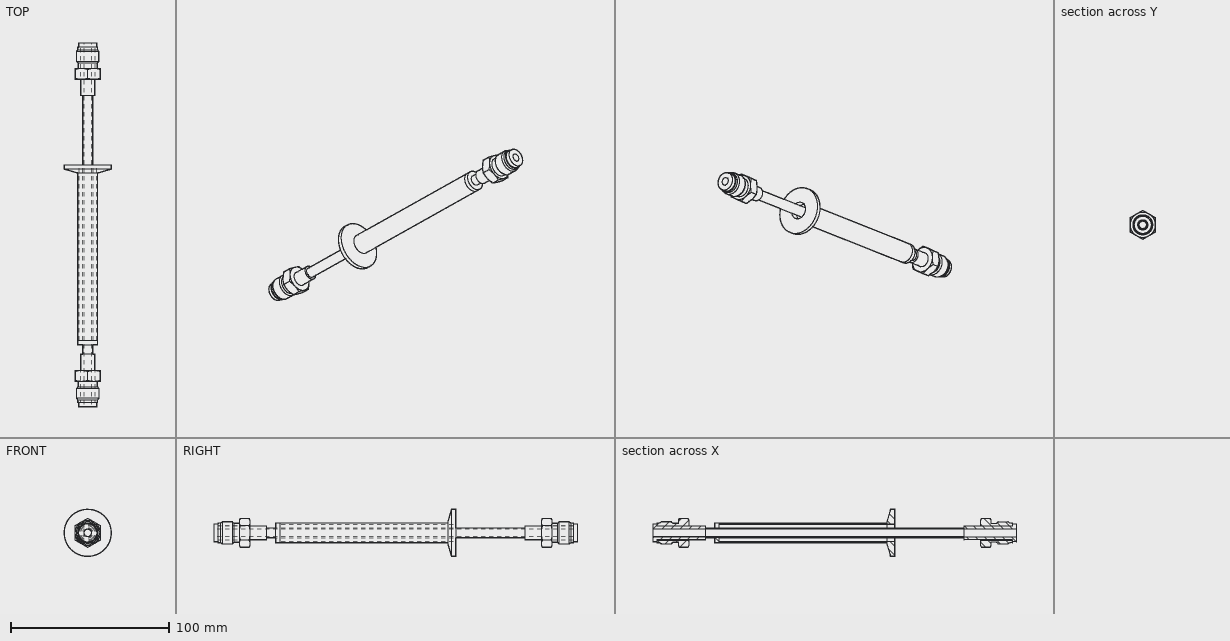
import cadquery as cq
import math

total_length = 230.1
half_length = total_length / 2

tube_diameter = 6.5
tube_bore = 4.5
gland_bore = 4.8
gland_length = 33.4
gland_head_diameter = 11.5
gland_head_length = 2.8
gland_stem_diameter = 9.0

nut_bore = 9.2
nut_nose_diameter = 12.7
nut_thread_diameter = 14.3
nut_neck_diameter = 12.2
nose_end = 4.4
thread_start = 5.5
thread_end = 11.7
neck_start = 12.7
hex_start = 16.0
hex_end = 23.0
hex_across_flats = 15.9
hex_face_diameter = hex_across_flats
hex_chamfer_angle = 30.0

flange_diameter = 30.0
flange_back = 38.0
flange_rim_thickness = 2.8
flange_cone_length = 2.3
flange_hub_diameter = 14.3
sleeve_diameter = 12.7
sleeve_bore = 10.8
cap_front = -76.0
cap_thickness = 2.8


def revolve_about_y(profile):
    """Revolve a closed (radius, y) outline into a solid about the Y axis."""
    return cq.Workplane("XY").polyline(profile).close().revolve(360, (0, 0, 0), (0, 1, 0))


def ring(outer_diameter, inner_diameter, y_start, y_end):
    """Make a plain hollow cylinder along Y."""
    outer = outer_diameter / 2
    inner = inner_diameter / 2
    return revolve_about_y([(inner, y_start), (outer, y_start), (outer, y_end), (inner, y_end)])


def make_gland():
    """Headed hollow gland with the outer face of its head at y = 0."""
    head = ring(gland_head_diameter, gland_bore, 0, gland_head_length)
    stem = ring(gland_stem_diameter, gland_bore, gland_head_length, gland_length)
    return head.union(stem)


def make_hexagon():
    """Hexagon with corners toward +Z and -Z, both ends chamfered by a cone."""
    corner_diameter = hex_across_flats / math.cos(math.radians(30))
    hexagon = (
        cq.Workplane("XZ", origin=(0, hex_end, 0))
        .transformed(rotate=(0, 0, 90))
        .polygon(6, corner_diameter)
        .extrude(hex_end - hex_start)
    )
    face_radius = hex_face_diameter / 2
    corner_radius = corner_diameter / 2
    chamfer_depth = (corner_radius - face_radius) * math.tan(math.radians(hex_chamfer_angle))
    envelope = revolve_about_y([
        (0, hex_start),
        (face_radius, hex_start),
        (corner_radius, hex_start + chamfer_depth),
        (corner_radius, hex_end - chamfer_depth),
        (face_radius, hex_end),
        (0, hex_end),
    ])
    return hexagon.intersect(envelope)


def make_nut():
    """Male nut that bears on the back of the gland head."""
    nose_radius = nut_nose_diameter / 2
    thread_radius = nut_thread_diameter / 2
    neck_radius = nut_neck_diameter / 2
    barrel = revolve_about_y([
        (0, gland_head_length),
        (nose_radius, gland_head_length),
        (nose_radius, nose_end),
        (thread_radius, thread_start),
        (thread_radius, thread_end),
        (neck_radius, neck_start),
        (neck_radius, hex_start),
        (0, hex_start),
    ])
    bore = ring(nut_bore, 0, gland_head_length, hex_end)
    return barrel.union(make_hexagon()).cut(bore)


def make_flange():
    """Flange disc whose front tapers to a hub slightly wider than the sleeve."""
    bore_radius = sleeve_bore / 2
    rim_radius = flange_diameter / 2
    rim_front = flange_back - flange_rim_thickness
    return revolve_about_y([
        (bore_radius, flange_back),
        (rim_radius, flange_back),
        (rim_radius, rim_front),
        (flange_hub_diameter / 2, flange_front),
        (bore_radius, flange_front),
    ])


flange_front = flange_back - flange_rim_thickness - flange_cone_length
cap_back = cap_front + cap_thickness
tube_end = half_length - gland_length

tube = ring(tube_diameter, tube_bore, -tube_end, tube_end)
flange = make_flange()
sleeve = ring(sleeve_diameter, sleeve_bore, cap_back, flange_front)
end_cap = ring(sleeve_diameter, tube_diameter, cap_front, cap_back)

glands = []
nuts = []
for turn in (0, 180):
    for bodies, body in ((glands, make_gland()), (nuts, make_nut())):
        placed = body.translate((0, -half_length, 0)).rotate((0, 0, 0), (0, 0, 1), turn)
        bodies.append(placed.solids().val())

result = cq.Compound.makeCompound([
    tube.val(),
    flange.val(),
    sleeve.val(),
    end_cap.val(),
    *glands,
    *nuts,
])